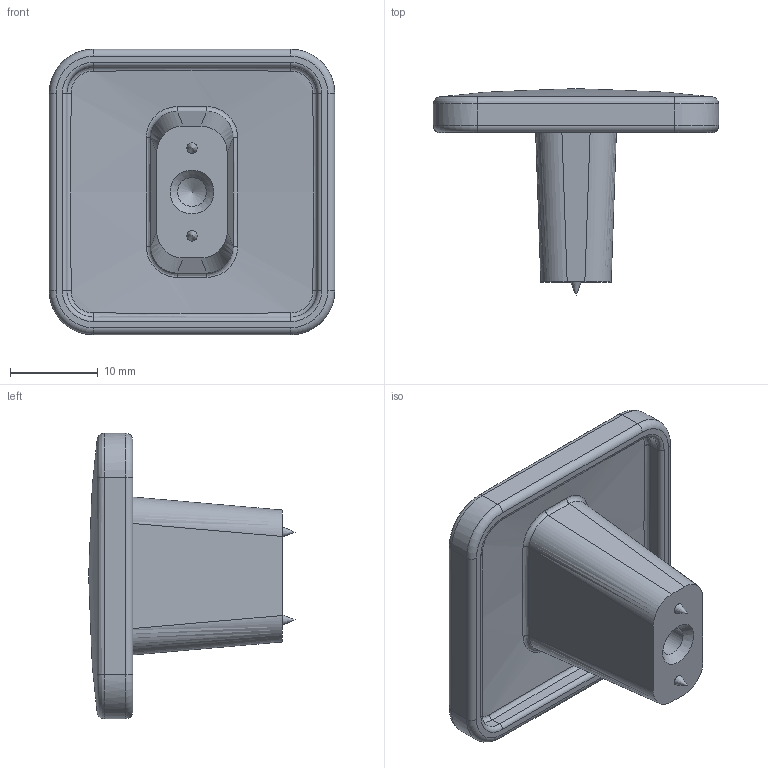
import cadquery as cq
import math


PLATE_SIZE = 32.47
PLATE_HALF = PLATE_SIZE / 2
CORNER_RADIUS = 5.0
EDGE_HEIGHT = 4.0
DOME_RISE = 1.0
EDGE_FILLET = 0.8

FLOOR_THICKNESS = 2.0
RIM_WALL = 2.0
POCKET_FILLET = 0.5

STEM_LENGTH = 17.0
STEM_END_X = 8.0
STEM_END_Z = 15.0
DRAFT_X = 2.0
DRAFT_Z = 5.0
STEM_CORNER_RADIUS = 3.0
FOOT_FILLET = 0.5
STEM_EMBED = 0.2

HOLE_RADIUS = 1.65
COUNTERSINK_RADIUS = 2.5
HOLE_DEPTH = 12.0
DRILL_POINT_ANGLE = 118.0

PIN_RADIUS = 0.6
PIN_LENGTH = 1.5
PIN_OFFSET_Z = 5.0

PATCH_DIVISIONS = 8
PATCH_TOLERANCE = 1e-4


def below_dome(edge_height, depth):
    """Square block under a dome that is level along its border and highest in the middle."""

    def dome_point(column, row):
        u = 2 * column / PATCH_DIVISIONS - 1
        v = 2 * row / PATCH_DIVISIONS - 1
        height = edge_height + DOME_RISE * (1 - u**2) * (1 - v**2)
        return cq.Vector(u * PLATE_HALF, height, v * PLATE_HALF)

    steps = range(PATCH_DIVISIONS + 1)
    grid = [[dome_point(column, row) for row in steps] for column in steps]
    patch = cq.Face.makeSplineApprox(grid, tol=PATCH_TOLERANCE, minDeg=2, maxDeg=3)
    return cq.Workplane(obj=cq.Solid.extrudeLinear(patch, cq.Vector(0, -depth, 0)))


def domed_block(inset, edge_height):
    """Rounded square, inset from the plate outline, from Y = 0 up to a dome."""
    size = PLATE_SIZE - 2 * inset
    full_height = edge_height + 2 * DOME_RISE
    block = cq.Workplane("XZ").rect(size, size).extrude(-full_height)
    block = block.edges("|Y").fillet(CORNER_RADIUS - inset)
    return block.intersect(below_dome(edge_height, full_height))


def make_plate():
    plate = domed_block(0, EDGE_HEIGHT)
    plate = plate.faces(">Y").edges().fillet(EDGE_FILLET)
    plate = plate.faces("<Y").edges().fillet(EDGE_FILLET)
    pocket = domed_block(RIM_WALL, EDGE_HEIGHT - FLOOR_THICKNESS)
    pocket = pocket.faces(">Y").edges().fillet(POCKET_FILLET)
    plate = plate.cut(pocket)
    mouth_half = PLATE_HALF - RIM_WALL + POCKET_FILLET / 2
    mouth = cq.selectors.BoxSelector(
        (-mouth_half, -POCKET_FILLET / 2, -mouth_half),
        (mouth_half, POCKET_FILLET / 2, mouth_half),
        boundingbox=True,
    )
    return plate.edges(mouth).fillet(POCKET_FILLET)


def make_stem():
    height = STEM_LENGTH + EDGE_HEIGHT + DOME_RISE - FLOOR_THICKNESS + STEM_EMBED
    root_x = STEM_END_X + 2 * height * math.tan(math.radians(DRAFT_X))
    root_z = STEM_END_Z + 2 * height * math.tan(math.radians(DRAFT_Z))
    stem = (
        cq.Workplane("XZ", origin=(0, -STEM_LENGTH, 0))
        .rect(STEM_END_X, STEM_END_Z)
        .workplane(offset=-height)
        .rect(root_x, root_z)
        .loft(ruled=True)
    )
    corners = stem.edges("not(#Y)")
    return corners.fillet(STEM_CORNER_RADIUS)


def join_stem(plate, stem):
    """Unite plate and stem and round the line where the stem meets the pocket floor."""
    body = plate.union(stem)
    pocket_half = PLATE_HALF - RIM_WALL - 2 * POCKET_FILLET
    crown = EDGE_HEIGHT + DOME_RISE - FLOOR_THICKNESS
    foot = cq.selectors.BoxSelector(
        (-pocket_half, 0, -pocket_half),
        (pocket_half, crown + STEM_EMBED, pocket_half),
        boundingbox=True,
    )
    return body.edges(foot).fillet(FOOT_FILLET)


def make_screw_hole():
    """Blind hole with a 45 degree countersink and a conical drill point."""
    countersink_depth = COUNTERSINK_RADIUS - HOLE_RADIUS
    point_depth = HOLE_RADIUS / math.tan(math.radians(DRILL_POINT_ANGLE / 2))
    hole_end = -STEM_LENGTH + HOLE_DEPTH
    return (
        cq.Workplane("XY")
        .moveTo(0, -STEM_LENGTH)
        .lineTo(COUNTERSINK_RADIUS, -STEM_LENGTH)
        .lineTo(HOLE_RADIUS, -STEM_LENGTH + countersink_depth)
        .lineTo(HOLE_RADIUS, hole_end)
        .lineTo(0, hole_end + point_depth)
        .close()
        .revolve(360, (0, 0, 0), (0, 1, 0))
    )


def make_pin(z):
    base = cq.Vector(0, -STEM_LENGTH, z)
    cone = cq.Solid.makeCone(PIN_RADIUS, 0, PIN_LENGTH, base, cq.Vector(0, -1, 0))
    return cq.Workplane(obj=cone)


result = join_stem(make_plate(), make_stem()).cut(make_screw_hole())
for pin_z in (-PIN_OFFSET_Z, PIN_OFFSET_Z):
    result = result.union(make_pin(pin_z))